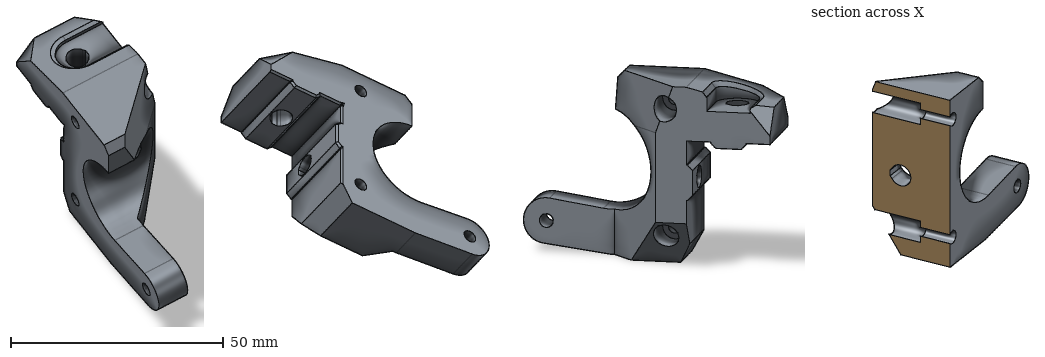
import cadquery as cq
import math

length = 62.0
depth = 21.0
height = 44.0
over = 12.4

hole_pitch = 31.0
screw_d = 3.3
screw_head_d = 6.0
plate_thickness = 8.05
arm_radius = 5.5
opening_radius = 12.0
right_hole_x = length - arm_radius
left_hole_x = right_hole_x - hole_pitch
bottom_hole_z = 7.45
top_hole_z = bottom_hole_z + hole_pitch
opening_x = left_hole_x + hole_pitch / 2
opening_z = bottom_hole_z + hole_pitch / 2

seat_x = 20.1
seat_z = 31.05
seat_bevel_rise = 0.4
seat_bevel_depth = 0.55
seat_nick_reach = 0.7
overhang_tip_z = 39.05
slope = math.atan2(height - overhang_tip_z, seat_x)

right_edge_x = 40.05
top_corner = 2.0
foot_corner_x = 3.0
foot_corner_z = 5.4

key_height = 1.5
key_step = 0.25
key_half_root = 4.3
key_half_tip = 3.05
key_bevel = 0.5
key_root = 1.85
bolt_radius = 2.65
bolt_flat = 2.8
bolt_flat_half = 0.75
bolt_peak_angle = 60.0
top_bolt_x = 10.0
top_bolt_y = 10.55
side_bolt_y = 13.3
side_bolt_z = 20.95

pocket_radius = 5.2
pocket_rim_radius = 6.4
pocket_rim_depth = 1.0
pocket_rim_angle = 50.0
pocket_floor_z = 38.45

rear_cut_x = 27.5
rear_slant_z = 32.7
rear_slant_inset = 3.0
rear_foot_y = 13.3
rear_foot_z = 11.1

tip_cut_x = 6.1
tip_cut_y = 4.9
tip_cut_z = 33.1


def xz_prism(sketch_points, y_length):
    """Prism on an outline in X and Z, from the front face towards +Y."""
    return cq.Workplane("XZ").polyline(sketch_points).close().extrude(-y_length)


def y_cylinder(x, z, radius, y_start, y_end):
    plane = cq.Workplane("XZ", origin=(0, y_start, 0))
    return plane.center(x, z).circle(radius).extrude(y_start - y_end)


def make_body():
    """Extruded outline: overhang, motor plate with its opening, and rounded arm."""
    spacing = hole_pitch / math.sqrt(2)
    upper = -math.pi / 4 - math.acos((opening_radius + arm_radius) / spacing)
    ux, uz = math.cos(upper), math.sin(upper)
    dx, dz = right_hole_x - opening_x, bottom_hole_z
    lower = math.atan2(-dz, -dx) + math.acos(arm_radius / math.hypot(dx, dz))
    lx, lz = math.cos(lower), math.sin(lower)
    opening_top_z = opening_z + math.sqrt(opening_radius**2 - (right_edge_x - opening_x) ** 2)
    return (
        cq.Workplane("XZ")
        .moveTo(0, seat_z)
        .lineTo(0, overhang_tip_z)
        .lineTo(seat_x, height)
        .lineTo(right_edge_x - top_corner, height)
        .lineTo(right_edge_x, height - top_corner)
        .lineTo(right_edge_x, opening_top_z)
        .threePointArc(
            (opening_x - opening_radius, opening_z),
            (opening_x + opening_radius * ux, opening_z + opening_radius * uz),
        )
        .lineTo(right_hole_x - arm_radius * ux, bottom_hole_z - arm_radius * uz)
        .threePointArc(
            (length, bottom_hole_z),
            (right_hole_x + arm_radius * lx, bottom_hole_z + arm_radius * lz),
        )
        .lineTo(opening_x, 0)
        .lineTo(seat_x + foot_corner_x, 0)
        .lineTo(seat_x, foot_corner_z)
        .lineTo(seat_x, seat_z)
        .close()
        .extrude(-depth)
    )


def cut_rear(body):
    """Slope the rear down to the plate, and bevel it at the top and the foot."""
    run_x = right_edge_x - rear_cut_x
    run_y = depth - plate_thickness
    slope_cut = (
        cq.Workplane("XY")
        .moveTo(rear_cut_x, depth)
        .lineTo(right_edge_x, plate_thickness)
        .lineTo(length + over, plate_thickness)
        .lineTo(length + over, depth)
        .close()
        .extrude(height)
    )
    along_slope = cq.Plane(origin=(rear_cut_x, depth, 0), xDir=(run_y, run_x, 0), normal=(run_x, -run_y, 0))
    top_cut = (
        cq.Workplane(along_slope)
        .moveTo(0, rear_slant_z)
        .lineTo(-rear_slant_inset, height)
        .lineTo(over, height)
        .lineTo(over, rear_slant_z)
        .close()
        .extrude(2 * math.hypot(run_x, run_y), both=True)
    )
    foot_cut = (
        cq.Workplane("YZ")
        .moveTo(rear_foot_y, 0)
        .lineTo(depth, rear_foot_z)
        .lineTo(depth, 0)
        .close()
        .extrude(length)
    )
    return body.cut(slope_cut).cut(top_cut).cut(foot_cut)


def cut_tip_corners(body):
    """Cut both corners of the overhang's tip with mirrored slanting planes."""
    top_z = overhang_tip_z + tip_cut_x * math.tan(slope)
    on_edge = cq.Vector(0, 0, tip_cut_z)
    on_tip = cq.Vector(0, tip_cut_y, overhang_tip_z)
    on_top = cq.Vector(tip_cut_x, 0, top_z)
    normal = (on_top - on_edge).cross(on_tip - on_edge)
    plane = cq.Plane(origin=on_edge.toTuple(), xDir=(on_tip - on_edge).toTuple(), normal=normal.toTuple())
    front_cut = cq.Workplane(plane).rect(2 * over, 2 * over).extrude(over)
    rear_cut = front_cut.mirror("XZ").translate((0, depth, 0))
    return body.cut(front_cut).cut(rear_cut)


def make_seat_nick():
    """Small pyramid that relieves the inner corner where the two seat bevels meet."""
    tip = cq.Vector(seat_x, seat_bevel_depth, seat_z)
    base = [
        cq.Vector(seat_x + dx, 0, seat_z + dz)
        for dx, dz in [
            (-seat_nick_reach, -seat_nick_reach),
            (-seat_nick_reach, seat_bevel_rise),
            (seat_nick_reach, seat_nick_reach),
            (seat_bevel_rise, -seat_nick_reach),
        ]
    ]
    outlines = [base] + [[base[i - 1], base[i], tip] for i in range(len(base))]
    faces = [cq.Face.makeFromWires(cq.Wire.makePolygon(outline, close=True)) for outline in outlines]
    return cq.Workplane(cq.Solid.makeSolid(cq.Shell.makeShell(faces)))


def bevel_seat(body):
    """Bevel the front edges of both seat faces and relieve their corner."""
    under = (
        cq.Workplane("YZ")
        .moveTo(0, seat_z)
        .lineTo(0, seat_z + seat_bevel_rise)
        .lineTo(seat_bevel_depth, seat_z)
        .close()
        .extrude(seat_x + seat_bevel_rise)
    )
    side = (
        cq.Workplane("XY")
        .moveTo(seat_x, 0)
        .lineTo(seat_x + seat_bevel_rise, 0)
        .lineTo(seat_x, seat_bevel_depth)
        .close()
        .extrude(seat_z + seat_bevel_rise)
    )
    return body.cut(under).cut(side).cut(make_seat_nick())


def make_key():
    """Key hanging below the XY plane, centred on X = 0, with a bevelled front end."""
    outline = [
        (-key_half_root, key_root),
        (-key_half_root, -key_step),
        (-key_half_tip, -key_height),
        (key_half_tip, -key_height),
        (key_half_root, -key_step),
        (key_half_root, key_root),
    ]
    return xz_prism(outline, depth).faces("<Y").chamfer(key_bevel)


def bolt_hole(plane):
    """Round hole with a flat-topped peak towards local +Y, reaching both ways along the normal."""
    side = bolt_radius * math.cos(math.radians(bolt_peak_angle))
    rise = bolt_radius * math.sin(math.radians(bolt_peak_angle))
    peak = [(-side, rise), (-bolt_flat_half, bolt_flat), (bolt_flat_half, bolt_flat), (side, rise), (0, 0)]
    round_part = cq.Workplane(plane).circle(bolt_radius).extrude(length, both=True)
    return round_part.union(cq.Workplane(plane).polyline(peak).close().extrude(length, both=True))


def slot(plane, radius):
    """Outline with a round end at the origin that runs out along local +Y."""
    end = depth + over
    return (
        cq.Workplane(plane)
        .moveTo(-radius, end)
        .lineTo(-radius, 0)
        .threePointArc((0, -radius), (radius, 0))
        .lineTo(radius, end)
        .close()
    )


def make_pocket():
    """Bolt head pocket, open to the rear, with a bevelled rim on the sloping top."""
    floor = cq.Plane(origin=(top_bolt_x, top_bolt_y, pocket_floor_z), xDir=(1, 0, 0), normal=(0, 0, 1))
    top_z = overhang_tip_z + top_bolt_x * math.tan(slope)
    rim = cq.Plane(
        origin=(top_bolt_x, top_bolt_y, top_z),
        xDir=(-math.cos(slope), 0, -math.sin(slope)),
        normal=(math.sin(slope), 0, -math.cos(slope)),
    )
    bevel = slot(rim, pocket_rim_radius).extrude(pocket_rim_depth, taper=pocket_rim_angle)
    return slot(floor, pocket_radius).extrude(height).union(bevel)


body = bevel_seat(cut_tip_corners(cut_rear(make_body())))

key = make_key()
top_key = key.translate((top_bolt_x, 0, seat_z))
side_key = key.rotate((0, 0, 0), (0, 1, 0), 90).translate((seat_x, 0, side_bolt_z))
body = body.union(top_key).union(side_key)

top_bolt_plane = cq.Plane(origin=(top_bolt_x, top_bolt_y, 0), xDir=(1, 0, 0), normal=(0, 0, 1))
side_bolt_plane = cq.Plane(origin=(0, side_bolt_y, side_bolt_z), xDir=(0, 0, -1), normal=(1, 0, 0))
body = body.cut(make_pocket())
body = body.cut(bolt_hole(top_bolt_plane)).cut(bolt_hole(side_bolt_plane))

screws = [(left_hole_x, bottom_hole_z), (left_hole_x, top_hole_z), (right_hole_x, bottom_hole_z)]
for x, z in screws:
    body = body.cut(y_cylinder(x, z, screw_d / 2, 0, depth))
    body = body.cut(y_cylinder(x, z, screw_head_d / 2, plate_thickness, depth))

result = body